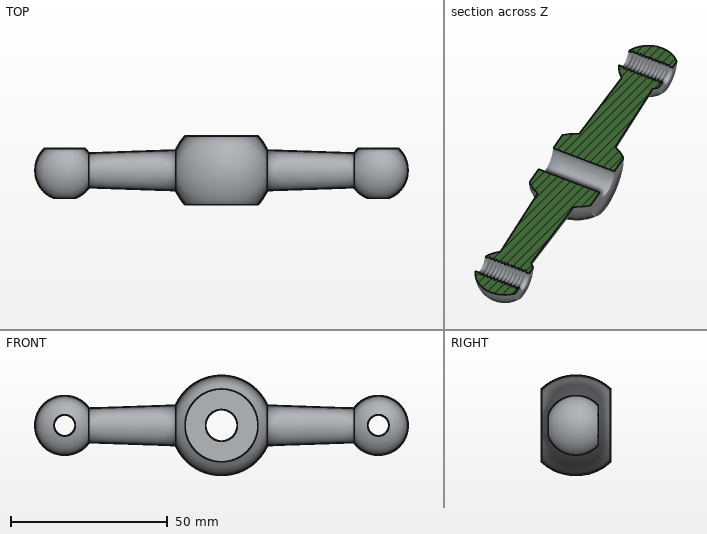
import cadquery as cq
import math

hub_diameter = 32.0
hub_width = 22.0
bore_diameter = 10.0

overall_length = 118.9
ball_diameter = 19.0
ball_flat_offset = 7.0
ball_centre = (overall_length - ball_diameter) / 2

arm_hub_diameter = 13.0
arm_ball_diameter = 11.1

thread_minor_diameter = 6.7
thread_major_diameter = 8.0
thread_pitch = 1.25
groove_mouth = 0.85 * thread_pitch
groove_root = 0.15 * thread_pitch
thread_end_margin = 0.8
groove_overlap = 0.1


def along_y(diameter, start, end):
    """Cylinder on the Y axis between two Y positions."""
    return cq.Workplane("XZ", origin=(0, start, 0)).circle(diameter / 2).extrude(start - end)


def make_hub():
    ball = cq.Workplane("XY").sphere(hub_diameter / 2, direct=(0, 1, 0))
    slab = cq.Workplane("XY").box(hub_diameter, hub_width, hub_diameter)
    return ball.intersect(slab)


def make_arm(side):
    """Tapered round arm between the points where it meets the hub and the ball."""
    hub_radius = arm_hub_diameter / 2
    ball_radius = arm_ball_diameter / 2
    hub_end = math.sqrt((hub_diameter / 2) ** 2 - hub_radius**2)
    ball_end = ball_centre - math.sqrt((ball_diameter / 2) ** 2 - ball_radius**2)
    slope = (ball_radius - hub_radius) / (ball_end - hub_end)
    radius_at_ball_centre = ball_radius + slope * (ball_centre - ball_end)
    radius_at_origin = hub_radius - slope * hub_end
    profile = [
        (0, 0),
        (0, radius_at_origin),
        (side * ball_centre, radius_at_ball_centre),
        (side * ball_centre, 0),
    ]
    return cq.Workplane("XY").polyline(profile).close().revolve(360, (0, 0, 0), (1, 0, 0))


def make_end_ball(side):
    ball = cq.Workplane("XY").sphere(ball_diameter / 2, direct=(0, 1, 0))
    beyond_flat = along_y(ball_diameter, ball_flat_offset, ball_diameter)
    return ball.cut(beyond_flat).translate((side * ball_centre, 0, 0))


def make_thread_groove():
    """Helical groove cutter on the Y axis, ending just inside both mouths of the hole."""
    inner = thread_minor_diameter / 2 - groove_overlap
    outer = thread_major_diameter / 2
    mouth = -math.sqrt((ball_diameter / 2) ** 2 - outer**2)
    start = mouth + thread_end_margin
    length = ball_flat_offset - thread_end_margin - start
    helix = cq.Wire.makeHelix(thread_pitch, length, inner)
    section = [
        (inner, -groove_mouth / 2),
        (outer, -groove_root / 2),
        (outer, groove_root / 2),
        (inner, groove_mouth / 2),
    ]
    groove = cq.Workplane("XZ").polyline(section).close().sweep(helix, isFrenet=True)
    return groove.rotate((0, 0, 0), (1, 0, 0), -90).translate((0, start, 0))


result = make_hub()
for side in (-1, 1):
    result = result.union(make_arm(side)).union(make_end_ball(side))

result = result.cut(along_y(bore_diameter, -hub_width, hub_width))

minor_hole = along_y(thread_minor_diameter, -ball_diameter, ball_diameter)
thread_groove = make_thread_groove()
for side in (-1, 1):
    position = (side * ball_centre, 0, 0)
    result = result.cut(minor_hole.translate(position))
    result = result.cut(thread_groove.translate(position))